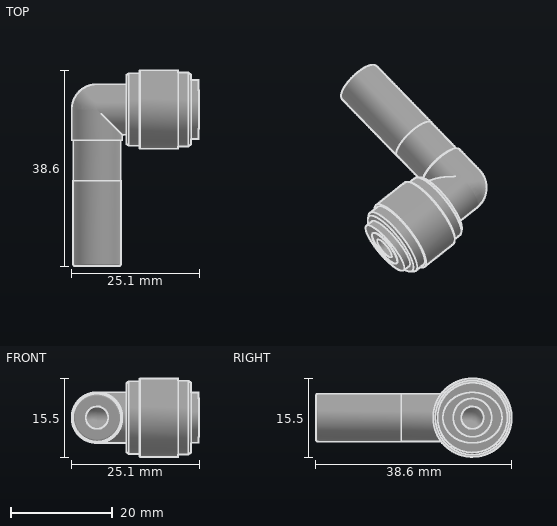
import cadquery as cq


elbow_radius = 5.0
sleeve_length = 6.05
bore_radius = 2.2

stem_radius = 4.75
stem_root_radius = 4.7
stem_root_end = 14.05
stem_end = 30.8
stem_edge_radius = 0.45

body_start = 5.7
collar_start = 8.3
collar_end = 15.95
body_end = 18.5
rear_radius = 7.17
front_radius = 7.3
collar_radius = 7.75
collar_chamfer = 0.2
body_chamfer_length = 0.58
body_chamfer_depth = 0.42

collet_end = 19.95
collet_width = 11.65
collet_height = 9.95
lip_radius = 3.78
lip_height = 0.1
fitting_end = collet_end + lip_height


def rod_x(radius, start, end):
    """Round rod along X between two distances from the corner."""
    return cq.Workplane("YZ", origin=(start, 0, 0)).circle(radius).extrude(end - start)


def rod_y(radius, start, end):
    """Round rod along -Y between two distances from the corner."""
    return cq.Workplane("XZ", origin=(0, -start, 0)).circle(radius).extrude(end - start)


def make_elbow():
    ball = cq.Workplane("XY").sphere(elbow_radius)
    sleeve = rod_y(elbow_radius, 0, sleeve_length)
    return ball.union(sleeve).union(rod_x(elbow_radius, 0, body_start))


def make_stem():
    tube = rod_y(stem_radius, stem_root_end, stem_end).faces("<Y").edges().fillet(stem_edge_radius)
    return tube.union(rod_y(stem_root_radius, 0, stem_root_end))


def make_socket_body():
    profile = [
        (body_start, 0),
        (body_start, rear_radius - body_chamfer_depth),
        (body_start + body_chamfer_length, rear_radius),
        (collar_start, rear_radius),
        (collar_start, collar_radius - collar_chamfer),
        (collar_start + collar_chamfer, collar_radius),
        (collar_end, collar_radius),
        (collar_end, front_radius),
        (body_end - body_chamfer_length, front_radius),
        (body_end, front_radius - body_chamfer_depth),
        (body_end, 0),
    ]
    return cq.Workplane("XY").polyline(profile).close().revolve(360, (0, 0, 0), (1, 0, 0))


def make_collet():
    collet = (
        cq.Workplane("YZ", origin=(body_end, 0, 0))
        .ellipse(collet_width / 2, collet_height / 2)
        .extrude(collet_end - body_end)
    )
    return collet.union(rod_x(lip_radius, collet_end, fitting_end))


def make_bore():
    """Flow passage with a rounded turn, open at both ends."""
    turn = cq.Workplane("XY").sphere(bore_radius)
    return turn.union(rod_y(bore_radius, 0, stem_end)).union(rod_x(bore_radius, 0, fitting_end))


outside = make_elbow().union(make_stem()).union(make_socket_body()).union(make_collet())
result = outside.cut(make_bore())